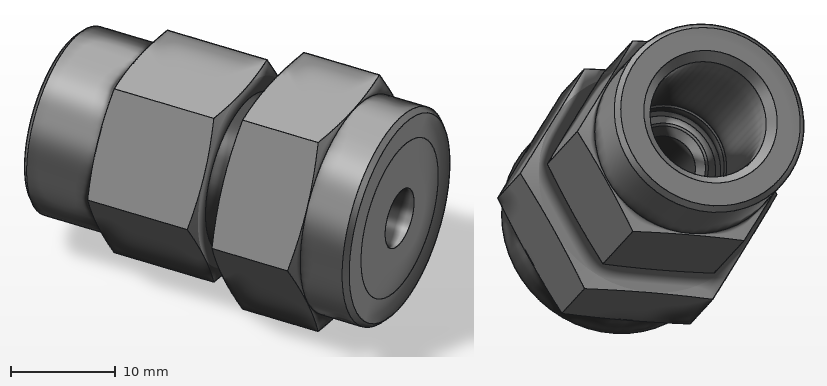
import cadquery as cq
import math

length = 35.7
start_x = -length / 2
end_x = length / 2
body_hex_x = start_x + 7.5
body_hex_length = 11.5
neck_x = body_hex_x + body_hex_length
nut_x = start_x + 21.67
nut_hex_length = 9.03

body_hex_flats = 19.05
nut_hex_flats = 22.0
hex_chamfer_angle = 15.0

collar_diameter = 18.78
nut_round_diameter = 21.9
neck_diameter = 16.0
rim_chamfer = 0.5

mouth_radius = 6.6
bore_radius = 5.75
mouth_depth = mouth_radius - bore_radius
bore_depth = 15.0
seat_radius = 5.5
seat_depth = 1.25
cone_half_angle = math.radians(60.0)
nose_base_radius = 5.0
nose_tip_radius = 4.15
nose_height = (nose_base_radius - nose_tip_radius) / math.tan(cone_half_angle)
passage_mouth_radius = 3.85
passage_radius = 3.0
passage_mouth_depth = (passage_mouth_radius - passage_radius) / math.tan(cone_half_angle)


def revolved(points):
    """Turn a closed profile of (x, radius) points about the X axis."""
    return cq.Workplane("XY").polyline(points).close().revolve(360, (0, 0, 0), (1, 0, 0))


def cylinder(x, length_x, diameter):
    return cq.Workplane("YZ", origin=(x, 0, 0)).circle(diameter / 2).extrude(length_x)


def chamfered_hexagon(x, length_x, flats):
    """Hexagonal prism along X whose corners are turned down to the flats at both ends."""
    corner_radius = flats / math.sqrt(3)
    prism = cq.Workplane("YZ", origin=(x, 0, 0)).polygon(6, 2 * corner_radius).extrude(length_x)
    chamfer_depth = (corner_radius - flats / 2) * math.tan(math.radians(hex_chamfer_angle))
    turned_envelope = revolved([
        (x, 0),
        (x, flats / 2),
        (x + chamfer_depth, corner_radius),
        (x + length_x - chamfer_depth, corner_radius),
        (x + length_x, flats / 2),
        (x + length_x, 0),
    ])
    return prism.intersect(turned_envelope)


def stepped_bore():
    """Countersunk bore with a hollow conical nose on its floor and a passage right through."""
    shoulder_x = start_x + bore_depth
    floor_x = shoulder_x + seat_depth
    nose_tip_x = floor_x - nose_height
    return revolved([
        (start_x, 0),
        (start_x, mouth_radius),
        (start_x + mouth_depth, bore_radius),
        (shoulder_x, bore_radius),
        (shoulder_x, seat_radius),
        (floor_x, seat_radius),
        (floor_x, nose_base_radius),
        (nose_tip_x, nose_tip_radius),
        (nose_tip_x, passage_mouth_radius),
        (nose_tip_x + passage_mouth_depth, passage_radius),
        (end_x, passage_radius),
        (end_x, 0),
    ])


def make_body():
    """Bored fitting body: collar, hexagon and a neck that runs through the nut."""
    collar = cylinder(start_x, body_hex_x - start_x, collar_diameter).faces("<X").chamfer(rim_chamfer)
    hexagon = chamfered_hexagon(body_hex_x, body_hex_length, body_hex_flats)
    neck = cylinder(neck_x, end_x - neck_x, neck_diameter)
    return collar.union(hexagon).union(neck).cut(stepped_bore())


def make_nut():
    """Hexagonal nut with a round end, bored to fit over the neck."""
    hexagon = chamfered_hexagon(nut_x, nut_hex_length, nut_hex_flats)
    round_x = nut_x + nut_hex_length
    round_end = cylinder(round_x, end_x - round_x, nut_round_diameter).faces(">X").chamfer(rim_chamfer)
    neck_hole = cylinder(nut_x, end_x - nut_x, neck_diameter)
    return hexagon.union(round_end).cut(neck_hole)


body = make_body()
nut = make_nut()

result = cq.Compound.makeCompound([body.val(), nut.val()])